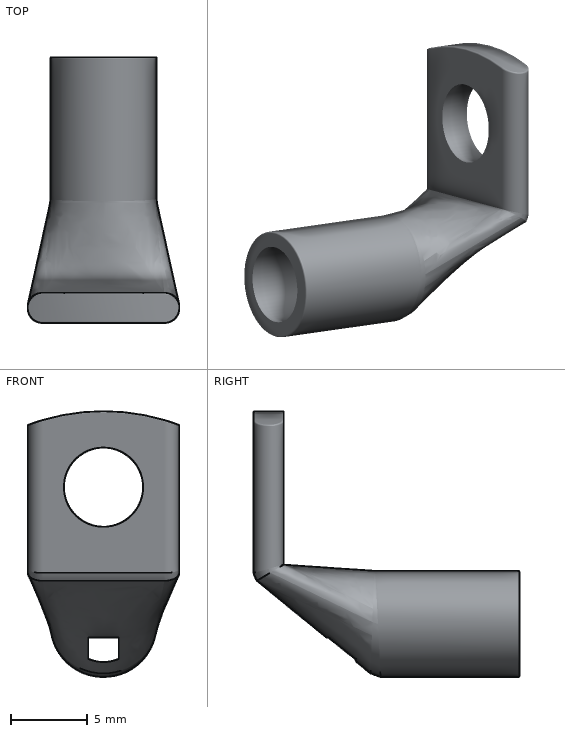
import cadquery as cq
import math

BARREL_DIAMETER = 7.0
BARREL_RADIUS = BARREL_DIAMETER / 2
BARREL_LENGTH = 9.5
BORE_DIAMETER = 5.0
TOTAL_LENGTH = 17.5
BORE_END = TOTAL_LENGTH - BARREL_LENGTH

PALM_WIDTH = 10.0
PALM_THICKNESS = 2.0
PALM_TOP = TOTAL_LENGTH - BARREL_RADIUS
PALM_CROWN_RADIUS = 14.0
PALM_HOLE_DIAMETER = 5.2
PALM_HOLE_HEIGHT = 9.0

BEND_HEIGHT = 3.9
BEND_START_ANGLE = 15.5
BEND_ANGLE = 15.5

SHOULDER_REAR_BOTTOM = 8.36
SHOULDER_REAR_TOP = 8.02
SHOULDER_FRONT_BOTTOM = 7.7
SHOULDER_FRONT_TOP = 7.95
SHOULDER_BOTTOM_RISE = 0.25
SHOULDER_HALF_WIDTH = 3.54

WINDOW_WIDTH = 2.0
WINDOW_TOP = -0.91

EDGE_ROUND = 0.1


def cylinder_along_y(diameter, start, end, height=0.0):
    """Cylinder parallel to Y, from Y = start to Y = end."""
    base = cq.Workplane("XZ", origin=(0, start, height))
    return base.circle(diameter / 2).extrude(start - end)


def extrude_side_outline(points):
    """Prism across the full part width from an outline of (Y, Z) points."""
    return cq.Workplane("YZ").polyline(points).close().extrude(PALM_WIDTH / 2, both=True)


def make_palm():
    """Plate with a crowned, softened top edge and a sloping lower end, without its hole."""
    plate = (
        cq.Workplane("XY")
        .center(0, PALM_THICKNESS / 2)
        .slot2D(PALM_WIDTH, PALM_THICKNESS)
        .extrude(PALM_TOP)
    )
    front_height = BEND_HEIGHT - PALM_THICKNESS * math.tan(math.radians(BEND_START_ANGLE))
    side_outline = extrude_side_outline([
        (0, front_height),
        (PALM_THICKNESS, BEND_HEIGHT),
        (PALM_THICKNESS, PALM_TOP),
        (0, PALM_TOP),
    ])
    crown_centre = PALM_TOP - PALM_CROWN_RADIUS
    crown = cylinder_along_y(2 * PALM_CROWN_RADIUS, 0, PALM_THICKNESS, crown_centre)
    palm = plate.intersect(side_outline).intersect(crown)
    return palm.faces(">Z").edges().fillet(EDGE_ROUND)


def make_bend(palm):
    """Palm's lower end face swung about its back edge."""
    pivot = cq.Vector(0, PALM_THICKNESS, BEND_HEIGHT)
    axis_end = pivot + cq.Vector(0.18, 0, 0)
    lower_face = palm.faces("<Z").val()
    return cq.Workplane(cq.Solid.revolve(lower_face, BEND_ANGLE, pivot, axis_end))


def make_barrel():
    """Solid barrel with a softened rear edge and a slightly tilted front end."""
    blank = cylinder_along_y(BARREL_DIAMETER, 0, TOTAL_LENGTH)
    blank = blank.faces(">Y").edges().fillet(EDGE_ROUND)
    side_outline = extrude_side_outline([
        (SHOULDER_REAR_BOTTOM, -BARREL_RADIUS),
        (SHOULDER_REAR_TOP, BARREL_RADIUS),
        (TOTAL_LENGTH, BARREL_RADIUS),
        (TOTAL_LENGTH, -BARREL_RADIUS),
    ])
    return blank.intersect(side_outline)


def make_shoulder_ring():
    """Oval outline where the neck meets the shoulder."""
    bottom = cq.Vector(0, SHOULDER_FRONT_BOTTOM, SHOULDER_BOTTOM_RISE - BARREL_RADIUS)
    top = cq.Vector(0, SHOULDER_FRONT_TOP, BARREL_RADIUS)
    across = cq.Vector(1, 0, 0)
    normal = across.cross(top - bottom)
    plane = cq.Plane(origin=(bottom + top) / 2, xDir=across, normal=normal)
    half_height = (top - bottom).Length / 2
    return cq.Workplane(plane).ellipse(SHOULDER_HALF_WIDTH, half_height).wires().val()


def make_loft(first_outline, second_outline):
    """Solid with straight lines running between two closed outlines."""
    return cq.Workplane(cq.Solid.makeLoft([first_outline, second_outline], True))


def make_window():
    """Passage from below the palm into the bore, its floor flush with the bore wall."""
    bore_extension = cylinder_along_y(BORE_DIAMETER, 0, BORE_END)
    height = WINDOW_TOP + BORE_DIAMETER / 2
    passage = (
        cq.Workplane("XZ", origin=(0, 0, WINDOW_TOP - height / 2))
        .rect(WINDOW_WIDTH, height)
        .extrude(-BORE_END)
    )
    return passage.intersect(bore_extension)


palm = make_palm()
bend = make_bend(palm)
barrel = make_barrel()

bend_outline = bend.faces("%PLANE").faces("<Z").val().outerWire()
barrel_outline = barrel.faces("<Y").val().outerWire()
shoulder_ring = make_shoulder_ring()
neck = make_loft(bend_outline, shoulder_ring)
shoulder = make_loft(shoulder_ring, barrel_outline)

body = palm.union(bend).union(neck).union(shoulder).union(barrel)

bore = cylinder_along_y(BORE_DIAMETER, BORE_END, TOTAL_LENGTH)
palm_hole = cylinder_along_y(PALM_HOLE_DIAMETER, 0, PALM_THICKNESS, PALM_HOLE_HEIGHT)

result = body.cut(bore).cut(make_window()).cut(palm_hole).solids()